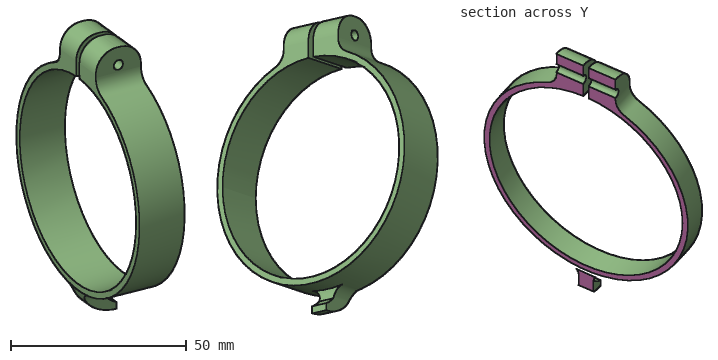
import cadquery as cq
import math

outer_radius = 34.5
ring_thickness = 2.0
inner_radius = outer_radius - ring_thickness
width = 15.0

ear_top = 44.5
ear_half_span = 10.0
ear_gap = 1.8
ear_round_radius = 6.9
ear_root_radius = 5.0
bolt_diameter = 3.0
bolt_drop = 5.6

hook_bottom = ear_top - 86.5
hook_half_width = 2.6
hook_root_radius = 3.5
hook_tip_y = 3.8
hook_tip_height = 2.1
hook_back_start_z = -33.65
hook_throat_start_z = -35.0
hook_throat_mid = (0.2, -36.6)
hook_throat_end = (0.6, -37.8)
hook_lip_mid = (2.1, -39.0)


def y_cylinder(radius):
    """Solid cylinder about the ring axis, as wide as the ring."""
    return cq.Workplane("XZ", origin=(0, width / 2, 0)).circle(radius).extrude(width)


def flared_post(half_width, root_radius, end_z):
    """Upright post whose sides flare tangentially into the ring's outer surface."""
    centre_x = half_width + root_radius
    centre_distance = outer_radius + root_radius
    centre_z = math.sqrt(centre_distance**2 - centre_x**2)
    tangent_x = centre_x * outer_radius / centre_distance
    tangent_z = centre_z * outer_radius / centre_distance
    mid_angle = (math.pi + math.atan2(-centre_z, -centre_x) + 2 * math.pi) / 2
    mid_x = centre_x + root_radius * math.cos(mid_angle)
    mid_z = centre_z + root_radius * math.sin(mid_angle)
    return (
        cq.Workplane("XZ", origin=(0, width / 2, 0))
        .moveTo(0, 0)
        .lineTo(tangent_x, tangent_z)
        .threePointArc((mid_x, mid_z), (half_width, centre_z))
        .lineTo(half_width, end_z)
        .lineTo(-half_width, end_z)
        .lineTo(-half_width, centre_z)
        .threePointArc((-mid_x, mid_z), (-tangent_x, tangent_z))
        .close()
        .extrude(width)
    )


def make_ears():
    """Post with rounded top corners; the gap is cut after joining the ring."""
    post = flared_post(ear_half_span, ear_root_radius, ear_top)
    return post.faces(">Z").edges("|X").fillet(ear_round_radius)


def make_hook():
    """Flared post trimmed to the curved side profile of the hook."""
    post = flared_post(hook_half_width, hook_root_radius, -hook_bottom)
    post = post.rotate((0, 0, 0), (0, 1, 0), 180)
    back_length = hook_tip_y + width / 2
    back_height = hook_back_start_z - hook_bottom
    side_profile = (
        cq.Workplane("YZ", origin=(-outer_radius, 0, 0))
        .moveTo(-width / 2, 0)
        .lineTo(-width / 2, hook_back_start_z)
        .ellipseArc(back_length, back_height, 180, 270, startAtCurrent=True)
        .lineTo(hook_tip_y, hook_bottom + hook_tip_height)
        .threePointArc(hook_lip_mid, hook_throat_end)
        .threePointArc(hook_throat_mid, (0, hook_throat_start_z))
        .lineTo(0, 0)
        .close()
        .extrude(2 * outer_radius)
    )
    return post.intersect(side_profile)


body = y_cylinder(outer_radius).union(make_ears()).union(make_hook())
body = body.cut(y_cylinder(inner_radius))

slit = cq.Workplane("XY").box(ear_gap, width, ear_top, centered=(True, True, False))

bolt_hole = (
    cq.Workplane("YZ")
    .center(0, ear_top - bolt_drop)
    .circle(bolt_diameter / 2)
    .extrude(ear_half_span, both=True)
)

result = body.cut(slit).cut(bolt_hole)